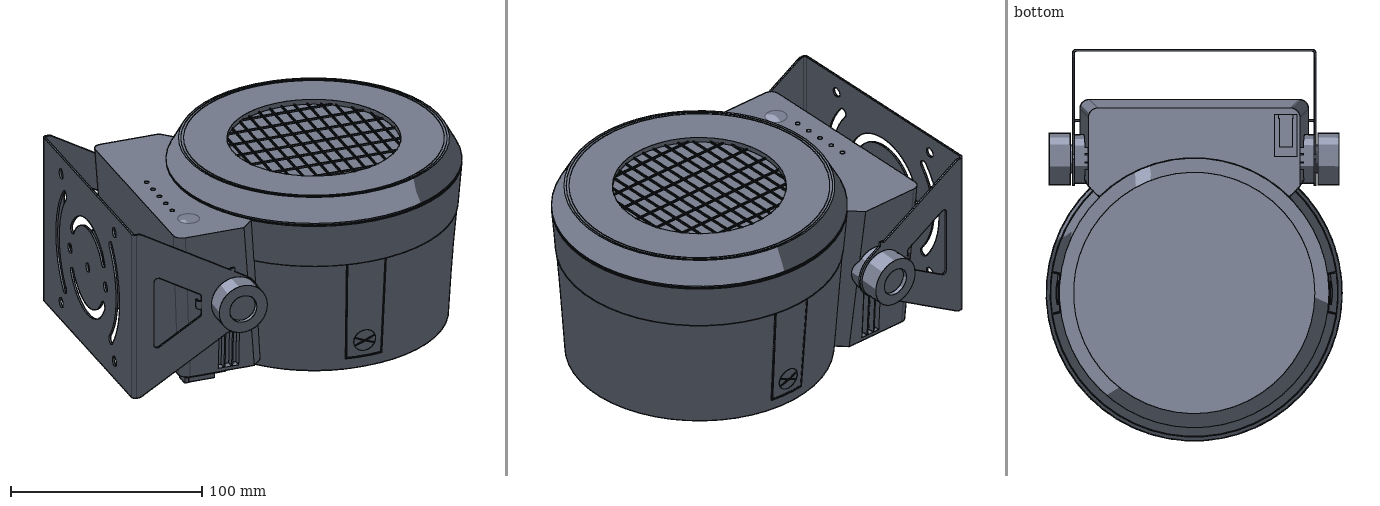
import cadquery as cq
import math

DRUM_RADIUS = 77.5
DRUM_HEIGHT = 105.0
BASE_RADIUS = 63.1
BASE_CHAMFER_TOP = 3.9
LOWER_RADIUS_BOTTOM = 70.5
LOWER_RADIUS_TOP = 75.0
JOINT_Z = 66.8
UPPER_RADIUS_BOTTOM = 75.5
SEAM_BOTTOM = 91.2
SEAM_TOP = 92.0
SEAM_DEPTH = 0.5
BEZEL_RIM_TOP = 93.0
BEZEL_TOP_RADIUS = 71.0

RING_OUTER_RADIUS = 69.7
RING_INNER_RADIUS = 68.3
RING_DEPTH = 0.2
GRILLE_RADIUS = 45.5
GRILLE_DEPTH = 2.9
BAR_WIDTH = 0.6
BAR_HEIGHT = 0.8
BAR_PITCH_X = 12.7
BAR_PITCH_Y = 6.8
BARS_EACH_SIDE_X = 3
BARS_EACH_SIDE_Y = 6

PANEL_BOTTOM = 9.8
PANEL_TOP_WIDTH = 22.3
PANEL_BOTTOM_WIDTH = 20.5
PANEL_GAP = 0.6
PANEL_GAP_DEPTH = 0.6
SCREW_Z = 19.7
SCREW_RADIUS = 6.2
SCREW_DOME = 0.6
SCREW_SLOT_WIDTH = 0.5
SCREW_SLOT_ANGLE = 23

BOX_TOP = 91.5
BOX_BOTTOM = 7.5
BOX_HALF_WIDTH = 59.9
BOX_BACK = -101.3
BOX_SIDE_END = -63.3
BOX_DRAFT = 4.5
BOX_SIDE_END_BOTTOM = -55.8
BOX_CORNER_RADIUS = 5.0
BOX_FRONT_CHAMFER = 10.2

LED_COUNT = 5
LED_PITCH = 9.0
LED_FIRST_X = -9.2
LED_Y = -90.6
LED_RADIUS = 1.2
LED_DEPTH = 0.2
DIAL_X = 39.2
DIAL_Y = -86.3
DIAL_RADIUS = 5.7
DIAL_DOME = 0.6
VENT_FRONT = -64.5
VENT_BACK = -76.0
VENT_BOTTOM = 9.6
VENT_DEPTH = 4.0
VENT_RIB_WIDTH = 0.6
VENT_RIB_PLACES = (-68.3, -72.5)
FOOT_CENTER_X = 48.0
FOOT_WIDTH = 7.5
FOOT_FRONT = -76.5
FOOT_BACK = -93.5
FOOT_BOTTOM = 2.5
FOOT_LIP_LENGTH = 2.3
FOOT_LIP_STEP = 0.5
FOOT_PLATE_MARGIN = 2.0
FOOT_PLATE_FRONT = -71.3
FOOT_PLATE_BOTTOM = 6.4

PIVOT_Y = -70.1
PIVOT_Z = DRUM_HEIGHT / 2
BOSS_RADIUS = 12.7
NECK_RADIUS = 7.4
KNOB_RADIUS = 13.5
KNOB_GAP = 1.0
KNOB_LENGTH = 11.0
KNOB_RECESS_RADIUS = 7.5
KNOB_RECESS_DEPTH = 2.5

SHEET = 1.0
BRACKET_HALF_WIDTH = 63.8
BRACKET_INNER_X = BRACKET_HALF_WIDTH - SHEET
OVERALL_LENGTH = 205
BRACKET_BACK = DRUM_RADIUS - OVERALL_LENGTH
BRACKET_HALF_HEIGHT = 47.5
BEND_RADIUS = 2.0
ARM_END_RADIUS = 14.0
ARM_ANGLE = 30.5
ARM_SLOPE = math.tan(math.radians(ARM_ANGLE))
ARM_CORNER_RADIUS = 3.0
TOOTH_HALF_HEIGHT = 18.5
TOOTH_WIDTH = 2.3
WINDOW_FRONT = -88.8
WINDOW_BACK = -115.6
WINDOW_FRONT_HALF_HEIGHT = 6.0
STOP_TAB_HEIGHT = 4.5
STOP_TAB_END_X = 59.9
WINDOW_CORNER_RADIUS = 2.0
MOUNT_HOLE_RADIUS = 2.7
CENTER_HOLE_RADIUS = 2.5
MOUNT_HOLE_OFFSET = 37.5
INNER_SLOT_RADIUS = 25.0
OUTER_SLOT_RADIUS = 42.5
SLOT_WIDTH = 5.0
INNER_SLOT_HALF_ANGLE = 60
OUTER_SLOT_HALF_ANGLE = 40


def block(x_range, y_range, z_range):
    """Box between two limits along each axis, given in any order."""
    spans = [(min(limits), max(limits)) for limits in (x_range, y_range, z_range)]
    size = [high - low for low, high in spans]
    corner = tuple(low for low, _ in spans)
    return cq.Workplane("XY").box(*size, centered=False).translate(corner)


def x_cylinder(radius, x_start, length, y, z):
    """Cylinder running along +X from x_start."""
    return cq.Workplane("YZ", origin=(x_start, y, z)).circle(radius).extrude(length)


def revolved(profile):
    """Full turn of an XZ profile about the Z axis."""
    return profile.revolve(360, (0, 0, 0), (0, 1, 0))


def cap_midpoint(base_radius, height):
    """Point halfway along the arc from the rim of a spherical cap to its top."""
    sphere_radius = (base_radius**2 + height**2) / (2 * height)
    half_angle = math.asin(base_radius / sphere_radius) / 2
    rise = sphere_radius * math.cos(half_angle) - (sphere_radius - height)
    return sphere_radius * math.sin(half_angle), rise


def dome(base_radius, height):
    """Spherical cap standing on the XY plane."""
    profile = (
        cq.Workplane("XZ")
        .moveTo(0, 0)
        .lineTo(base_radius, 0)
        .threePointArc(cap_midpoint(base_radius, height), (0, height))
        .close()
    )
    return revolved(profile)


def both_sides(right_part):
    """The given +X part together with its mirror image at -X."""
    return right_part.union(right_part.mirror("YZ"))




def make_drum():
    """Turned drum with a bezel above a narrow seam and a ring groove in its top face."""
    profile = [
        (0, 0),
        (BASE_RADIUS, 0),
        (LOWER_RADIUS_BOTTOM, BASE_CHAMFER_TOP),
        (LOWER_RADIUS_TOP, JOINT_Z),
        (UPPER_RADIUS_BOTTOM, JOINT_Z),
        (DRUM_RADIUS, SEAM_BOTTOM),
        (DRUM_RADIUS - SEAM_DEPTH, SEAM_BOTTOM),
        (DRUM_RADIUS - SEAM_DEPTH, SEAM_TOP),
        (DRUM_RADIUS, SEAM_TOP),
        (DRUM_RADIUS, BEZEL_RIM_TOP),
        (BEZEL_TOP_RADIUS, DRUM_HEIGHT),
        (0, DRUM_HEIGHT),
    ]
    drum = revolved(cq.Workplane("XZ").polyline(profile).close())
    ring_floor = cq.Workplane("XY").workplane(offset=DRUM_HEIGHT - RING_DEPTH)
    return drum.cut(ring_floor.circle(RING_OUTER_RADIUS).circle(RING_INNER_RADIUS).extrude(RING_DEPTH))


def cut_grille(drum):
    """Shallow round opening with crossing bars on its floor."""
    floor_z = DRUM_HEIGHT - GRILLE_DEPTH
    floor = cq.Workplane("XY").workplane(offset=floor_z)
    opening = floor.circle(GRILLE_RADIUS).extrude(GRILLE_DEPTH)
    length = 2 * GRILLE_RADIUS
    columns = [(i * BAR_PITCH_X, 0) for i in range(-BARS_EACH_SIDE_X, BARS_EACH_SIDE_X + 1)]
    rows = [(0, i * BAR_PITCH_Y) for i in range(-BARS_EACH_SIDE_Y, BARS_EACH_SIDE_Y + 1)]
    bars = floor.pushPoints(columns).rect(BAR_WIDTH, length).extrude(BAR_HEIGHT)
    bars = bars.union(floor.pushPoints(rows).rect(length, BAR_WIDTH).extrude(BAR_HEIGHT))
    return drum.cut(opening.cut(bars))


def panel_strip(inset):
    """Tapered bar through the +X drum wall with the panel's outline, drawn in by the inset."""
    bottom_half_width = PANEL_BOTTOM_WIDTH / 2 - inset
    top_half_width = PANEL_TOP_WIDTH / 2 - inset
    return (
        cq.Workplane("YZ")
        .polyline([
            (-bottom_half_width, PANEL_BOTTOM + inset),
            (bottom_half_width, PANEL_BOTTOM + inset),
            (top_half_width, JOINT_Z),
            (-top_half_width, JOINT_Z),
        ])
        .close()
        .extrude(DRUM_RADIUS)
    )


def make_panel_gap():
    """Narrow groove along the two sides and the bottom of the +X panel."""
    core_profile = (
        cq.Workplane("XZ")
        .polyline([
            (0, BASE_CHAMFER_TOP),
            (LOWER_RADIUS_BOTTOM - PANEL_GAP_DEPTH, BASE_CHAMFER_TOP),
            (LOWER_RADIUS_TOP - PANEL_GAP_DEPTH, JOINT_Z),
            (0, JOINT_Z),
        ])
        .close()
    )
    return panel_strip(0).cut(panel_strip(PANEL_GAP)).cut(revolved(core_profile))


def make_panel_screw():
    """Domed screw head with two crossing slots, sitting on the +X panel."""
    wall_slope = (LOWER_RADIUS_TOP - LOWER_RADIUS_BOTTOM) / (JOINT_Z - BASE_CHAMFER_TOP)
    panel_x = LOWER_RADIUS_BOTTOM + wall_slope * (SCREW_Z - BASE_CHAMFER_TOP)
    shank = cq.Workplane("XY").circle(SCREW_RADIUS).extrude(-2 * SCREW_DOME)
    head = dome(SCREW_RADIUS, SCREW_DOME).union(shank)
    slot = cq.Workplane("XY").box(SCREW_SLOT_WIDTH, 2 * SCREW_RADIUS, 2 * SCREW_DOME)
    for angle in (90 - SCREW_SLOT_ANGLE, 90 + SCREW_SLOT_ANGLE):
        head = head.cut(slot.rotate((0, 0, 0), (0, 0, 1), angle).translate((0, 0, SCREW_DOME)))
    tilt = 90 + math.degrees(math.atan(wall_slope))
    head = head.rotate((0, 0, 0), (0, 0, 1), 90).rotate((0, 0, 0), (0, 1, 0), tilt)
    return head.translate((panel_x, 0, SCREW_Z))


def box_outline(half_width, back, side_end, z):
    """Closed outline of the control box, symmetric about X = 0, with rounded back corners."""
    front_half_width = half_width - BOX_FRONT_CHAMFER
    front = side_end + BOX_FRONT_CHAMFER
    radius = BOX_CORNER_RADIUS
    arc_inset = radius * (1 - math.sqrt(0.5))
    return (
        cq.Workplane("XY", origin=(0, 0, z))
        .moveTo(-front_half_width, front)
        .lineTo(-half_width, side_end)
        .lineTo(-half_width, back + radius)
        .threePointArc((-half_width + arc_inset, back + arc_inset), (-half_width + radius, back))
        .lineTo(half_width - radius, back)
        .threePointArc((half_width - arc_inset, back + arc_inset), (half_width, back + radius))
        .lineTo(half_width, side_end)
        .lineTo(front_half_width, front)
        .close()
        .val()
    )


def make_control_box():
    top = box_outline(BOX_HALF_WIDTH, BOX_BACK, BOX_SIDE_END, BOX_TOP)
    bottom = box_outline(
        BOX_HALF_WIDTH - BOX_DRAFT, BOX_BACK + BOX_DRAFT, BOX_SIDE_END_BOTTOM, BOX_BOTTOM
    )
    return cq.Workplane(cq.Solid.makeLoft([bottom, top], True))


def make_leds():
    """Row of shallow round holes in the top of the control box."""
    places = [(LED_FIRST_X + i * LED_PITCH, LED_Y) for i in range(LED_COUNT)]
    floor = cq.Workplane("XY").workplane(offset=BOX_TOP - LED_DEPTH)
    return floor.pushPoints(places).circle(LED_RADIUS).extrude(LED_DEPTH)


def make_vents(control_box):
    """Grooves in both box sides, parted by thin ribs and running up behind the pivot boss."""
    core = control_box.intersect(
        block(
            (-BOX_HALF_WIDTH, BOX_HALF_WIDTH), (VENT_FRONT, VENT_BACK), (VENT_BOTTOM, PIVOT_Z)
        )
    )
    shifted = [core.translate((side * VENT_DEPTH, 0, 0)) for side in (-1, 1)]
    vents = core.cut(shifted[0]).union(core.cut(shifted[1]))
    for y in VENT_RIB_PLACES:
        rib = block(
            (-BOX_HALF_WIDTH, BOX_HALF_WIDTH),
            (y - VENT_RIB_WIDTH / 2, y + VENT_RIB_WIDTH / 2),
            (VENT_BOTTOM, PIVOT_Z),
        )
        vents = vents.cut(rib)
    return vents


def foot_block(half_width, front, bottom):
    """Block under the control box, reaching back to the rear of the foot."""
    return block(
        (FOOT_CENTER_X - half_width, FOOT_CENTER_X + half_width),
        (front, FOOT_BACK),
        (bottom, BOX_BOTTOM),
    )


def make_foot():
    """Small block with a slightly wider lip at its rear, on a thin plate."""
    half_width = FOOT_WIDTH / 2
    plate = foot_block(half_width + FOOT_PLATE_MARGIN, FOOT_PLATE_FRONT, FOOT_PLATE_BOTTOM)
    body = foot_block(half_width - FOOT_LIP_STEP, FOOT_FRONT, FOOT_BOTTOM)
    lip = foot_block(half_width, FOOT_BACK + FOOT_LIP_LENGTH, FOOT_BOTTOM)
    return plate.union(body).union(lip)


def make_pivot():
    """Boss, neck and knob on the +X side."""
    root_x = BOX_HALF_WIDTH - BOX_DRAFT - VENT_DEPTH
    knob_x = BRACKET_HALF_WIDTH + KNOB_GAP
    knob_end = knob_x + KNOB_LENGTH
    boss = x_cylinder(BOSS_RADIUS, root_x, BRACKET_INNER_X - root_x, PIVOT_Y, PIVOT_Z)
    neck = x_cylinder(NECK_RADIUS, root_x, knob_x - root_x, PIVOT_Y, PIVOT_Z)
    knob = x_cylinder(KNOB_RADIUS, knob_x, KNOB_LENGTH, PIVOT_Y, PIVOT_Z)
    recess = x_cylinder(KNOB_RECESS_RADIUS, knob_end, -KNOB_RECESS_DEPTH, PIVOT_Y, PIVOT_Z)
    return boss.union(neck).union(knob.cut(recess))


def make_housing():
    drum = cut_grille(make_drum())
    drum = drum.cut(both_sides(make_panel_gap()))
    drum = drum.union(both_sides(make_panel_screw()))
    control_box = make_control_box()
    dial = dome(DIAL_RADIUS, DIAL_DOME).translate((DIAL_X, DIAL_Y, BOX_TOP))
    control_box = control_box.cut(make_leds()).cut(make_vents(control_box))
    control_box = control_box.union(dial).union(make_foot())
    return drum.union(control_box).union(both_sides(make_pivot()))




def arm_half_height(y):
    """Height above the pivot axis of the sloped arm edge, which is tangent to the arm's round end."""
    return ARM_END_RADIUS * math.hypot(1, ARM_SLOPE) + ARM_SLOPE * (PIVOT_Y - y)


def make_bent_sheet():
    """U-shaped sheet of full height, with rounded bends, open towards +Y."""
    front = PIVOT_Y + ARM_END_RADIUS
    z_range = (PIVOT_Z - BRACKET_HALF_HEIGHT, PIVOT_Z + BRACKET_HALF_HEIGHT)
    outside = block((-BRACKET_HALF_WIDTH, BRACKET_HALF_WIDTH), (BRACKET_BACK, front), z_range)
    inside = block((-BRACKET_INNER_X, BRACKET_INNER_X), (BRACKET_BACK + SHEET, front), z_range)
    outside = outside.edges("|Z and <Y").fillet(BEND_RADIUS)
    inside = inside.edges("|Z and <Y").fillet(BEND_RADIUS - SHEET)
    return outside.cut(inside)


def make_side_shape():
    """Solid as wide as the bracket whose cross-section is the outline of an arm."""
    slope_angle = math.atan(ARM_SLOPE)
    tangent_y = ARM_END_RADIUS * math.sin(slope_angle)
    tangent_z = ARM_END_RADIUS * math.cos(slope_angle)
    back = BRACKET_BACK - PIVOT_Y
    corner_y = -(BRACKET_HALF_HEIGHT - arm_half_height(PIVOT_Y)) / ARM_SLOPE
    pivot_plane = cq.Workplane("YZ", origin=(-BRACKET_HALF_WIDTH, PIVOT_Y, PIVOT_Z))
    width = 2 * BRACKET_HALF_WIDTH
    shape = (
        pivot_plane.moveTo(tangent_y, tangent_z)
        .lineTo(corner_y, BRACKET_HALF_HEIGHT)
        .lineTo(back, BRACKET_HALF_HEIGHT)
        .lineTo(back, -BRACKET_HALF_HEIGHT)
        .lineTo(corner_y, -BRACKET_HALF_HEIGHT)
        .lineTo(tangent_y, -tangent_z)
        .threePointArc((ARM_END_RADIUS, 0), (tangent_y, tangent_z))
        .close()
        .extrude(width)
    )
    corner_edges = cq.selectors.BoxSelector(
        (-width, PIVOT_Y + corner_y - SHEET, 0), (width, PIVOT_Y + corner_y + SHEET, DRUM_HEIGHT)
    )
    shape = shape.edges("|X").edges(corner_edges).fillet(ARM_CORNER_RADIUS)
    tooth = pivot_plane.center(-TOOTH_WIDTH / 2, 0).rect(TOOTH_WIDTH, 2 * TOOTH_HALF_HEIGHT)
    return shape.union(tooth.extrude(width))


def make_window():
    """Triangular opening, cut off at the front, running through both arms."""
    back_half_height = WINDOW_FRONT_HALF_HEIGHT + ARM_SLOPE * (WINDOW_FRONT - WINDOW_BACK)
    window = (
        cq.Workplane("YZ", origin=(-BRACKET_HALF_WIDTH, 0, PIVOT_Z))
        .polyline([
            (WINDOW_FRONT, -WINDOW_FRONT_HALF_HEIGHT),
            (WINDOW_FRONT, WINDOW_FRONT_HALF_HEIGHT),
            (WINDOW_BACK, back_half_height),
            (WINDOW_BACK, -back_half_height),
        ])
        .close()
        .extrude(2 * BRACKET_HALF_WIDTH)
    )
    return window.edges("|X").fillet(WINDOW_CORNER_RADIUS)


def make_stop_tab():
    """Tab bent inwards from the front edge of the +X window."""
    z_range = (PIVOT_Z - STOP_TAB_HEIGHT / 2, PIVOT_Z + STOP_TAB_HEIGHT / 2)
    front = WINDOW_FRONT + SHEET
    back = WINDOW_FRONT - BEND_RADIUS
    outside = block((STOP_TAB_END_X, BRACKET_HALF_WIDTH), (front, back), z_range)
    inside = block((STOP_TAB_END_X, BRACKET_INNER_X), (front, back + SHEET), z_range)
    outside = outside.edges("|Z and >X and <Y").fillet(BEND_RADIUS)
    inside = inside.edges("|Z and >X and <Y").fillet(BEND_RADIUS - SHEET)
    return outside.cut(inside)


def on_circle(radius, angle):
    """Point at an angle in degrees on a circle about the origin."""
    return radius * math.cos(math.radians(angle)), radius * math.sin(math.radians(angle))


def make_arc_slot(plane, radius, middle_angle, half_angle):
    """Round-ended slot along an arc about the centre of the back plate."""
    start = middle_angle - half_angle
    end = middle_angle + half_angle
    inner = radius - SLOT_WIDTH / 2
    outer = radius + SLOT_WIDTH / 2
    slot = (
        plane.moveTo(*on_circle(inner, start))
        .threePointArc(on_circle(inner, middle_angle), on_circle(inner, end))
        .lineTo(*on_circle(outer, end))
        .threePointArc(on_circle(outer, middle_angle), on_circle(outer, start))
        .close()
        .extrude(-SHEET)
    )
    ends = [on_circle(radius, start), on_circle(radius, end)]
    return slot.union(plane.pushPoints(ends).circle(SLOT_WIDTH / 2).extrude(-SHEET))


def make_back_cuts():
    """Mounting holes and arc slots through the back plate."""
    plane = cq.Workplane("XZ", origin=(0, BRACKET_BACK, PIVOT_Z))
    offset = MOUNT_HOLE_OFFSET
    places = [(x, z) for x in (-offset, offset) for z in (-offset, offset)]
    places += [(-INNER_SLOT_RADIUS, 0), (INNER_SLOT_RADIUS, 0)]
    cuts = plane.pushPoints(places).circle(MOUNT_HOLE_RADIUS).extrude(-SHEET)
    cuts = cuts.union(plane.circle(CENTER_HOLE_RADIUS).extrude(-SHEET))
    for middle_angle in (90, 270):
        cuts = cuts.union(make_arc_slot(plane, INNER_SLOT_RADIUS, middle_angle, INNER_SLOT_HALF_ANGLE))
    for middle_angle in (0, 180):
        cuts = cuts.union(make_arc_slot(plane, OUTER_SLOT_RADIUS, middle_angle, OUTER_SLOT_HALF_ANGLE))
    return cuts


def make_bracket():
    pivot_hole = x_cylinder(NECK_RADIUS, -BRACKET_HALF_WIDTH, 2 * BRACKET_HALF_WIDTH, PIVOT_Y, PIVOT_Z)
    bracket = make_bent_sheet().intersect(make_side_shape())
    bracket = bracket.cut(make_window()).union(both_sides(make_stop_tab()))
    return bracket.cut(pivot_hole).cut(make_back_cuts())


housing = make_housing()
bracket = make_bracket()
result = cq.Compound.makeCompound([housing.val(), bracket.val()])